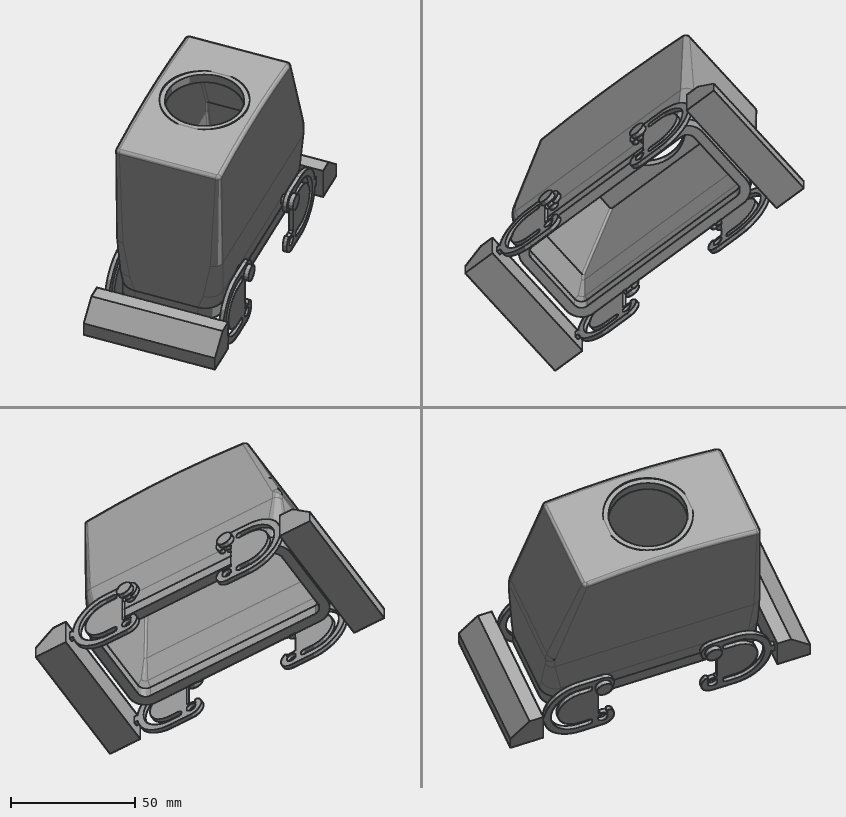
import cadquery as cq
import math


housing_top = 78.9
rim_height = 5.6
crease_height = 12.2
side_height = 28.9
bend_height = 33.5
column_top = housing_top + 1.3

base_half_length = 46.7
end_draft = 0.013
back_slope = 0.36
bend_radius = 10.4

half_width = 22.8
crease_half_width = 22.0
rim_half_width = 21.5

top_corner = 1.7
front_corner = 3.9
back_corner = 3.0
crease_corner = 6.1
rim_corner = 7.8
least_corner = 0.9

top_edge_radius = 1.5
crown_radius = 297.8
wall = 4.1

entry_y = -5.8
entry_radius = 15.9
spot_radius = 18.1
spot_depth = 0.5
entry_floor = housing_top - spot_depth

lever_inner_x = 23.8
lever_thickness = 1.8
lever_outer_x = lever_inner_x + lever_thickness
lever_y = 33.7
lever_z = -0.5
lever_radius = 15.4
slot_outer_radius = 12.4
slot_inner_radius = 9.5
slot_end_y = 28.2
slot_corner = 1.4
mouth_y = 25.6
mouth_corner = 3.6
hook_y = 23.7
hook_radius = 4.9
hook_inner_radius = 3.0
hook_offset = lever_radius - hook_radius
hook_start_angle = 110.0
hook_tip_angle = 46.0
hook_side_angle = -20.0
hook_bottom_angle = -90.0

pin_radius = 2.1
pin_z = lever_z + hook_offset
head_radius = 3.4
head_thickness = 2.1

bar_length = 57.0
bar_inner_y = 50.5
bar_outer_y = 64.8
bar_top = 5.6
bar_bottom = -8.3
bar_ridge_y = 56.5
bar_bevel_z = -2.2
neck_height = 3.9
neck_overlap = 1.3


def end_section(level, end, inset):
    """Level outline from the middle to one end wall (end = 1 for +Y, -1 for -Y), moved inwards by the inset."""
    z, half_x, end_distance, corner = level
    x = half_x - inset
    y = end_distance - inset
    r = max(corner - inset, least_corner)
    k = r * (1 - math.sqrt(0.5))
    return (
        cq.Workplane("XY", origin=(0, 0, z))
        .moveTo(-x, 0)
        .lineTo(x, 0)
        .lineTo(x, end * (y - r))
        .threePointArc((x - k, end * (y - k)), (x - r, end * y))
        .lineTo(-x + r, end * y)
        .threePointArc((-x + k, end * (y - k)), (-x, end * (y - r)))
        .close()
        .val()
    )


def upright_end(z):
    """Distance of an unsloped end wall from the middle."""
    return base_half_length - end_draft * z


def lower_levels(upper_corner):
    """Height, half width, end distance and corner radius at the levels up to the side wall crease."""
    return [
        (rim_height, rim_half_width, upright_end(rim_height), rim_corner),
        (crease_height, crease_half_width, upright_end(crease_height), crease_corner),
        (side_height, half_width, upright_end(side_height), upper_corner),
    ]


def loft_end(levels, end, inset):
    """Straight-sided half column through the levels."""
    wires = [end_section(level, end, inset) for level in levels]
    half = cq.Workplane("XY")
    for lower, upper in zip(wires, wires[1:]):
        half = half.union(cq.Workplane(cq.Solid.makeLoft([lower, upper], True)))
    return half


def drafted_column(inset=0.0):
    """Tapering column between the rim and a level above the crown, with a sloped back."""
    front_levels = lower_levels(front_corner)
    front_levels.append((column_top, half_width, upright_end(column_top), top_corner))
    bend_end = upright_end(bend_height)
    slope_end = bend_end - back_slope * (column_top - bend_height)
    back_levels = lower_levels(back_corner)
    back_levels.append((bend_height, half_width, bend_end, back_corner))
    back_levels.append((column_top, half_width, slope_end, top_corner))
    return loft_end(front_levels, -1, inset).union(loft_end(back_levels, 1, inset)).clean()


def below_crown():
    """Everything under the cylindrical crown, whose ridge runs along X above the entry."""
    return (
        cq.Workplane("YZ", origin=(0, entry_y, housing_top - crown_radius))
        .circle(crown_radius)
        .extrude(bar_length, both=True)
    )


def make_shell():
    outer = drafted_column()
    bend_edge = cq.selectors.NearestToPointSelector((0, upright_end(bend_height), bend_height))
    outer = outer.edges(bend_edge).fillet(bend_radius)
    outer = outer.intersect(below_crown())
    outer = outer.faces(">Z").edges().fillet(top_edge_radius)
    return outer.cut(make_cavity()).cut(make_entry())


def make_cavity():
    """Inside of the shell, under a flat ceiling."""
    above_ceiling = (
        cq.Workplane("XY", origin=(0, 0, entry_floor - wall))
        .rect(2 * base_half_length, 2 * base_half_length)
        .extrude(column_top)
    )
    return drafted_column(wall).cut(above_ceiling)


def make_entry():
    """Cable hole through the top wall, with a shallow flat spot face around it."""
    spot_face = cq.Workplane("XY", origin=(0, entry_y, entry_floor)).circle(spot_radius).extrude(wall)
    hole = cq.Workplane("XY", origin=(0, entry_y, entry_floor)).circle(entry_radius).extrude(-wall)
    return spot_face.union(hole)


def rim_block(inset=0.0):
    """Upright block under the drafted column, moved inwards by the inset."""
    level = lower_levels(front_corner)[0]
    down = cq.Vector(0, 0, -rim_height)
    front, back = [
        cq.Workplane(cq.Solid.extrudeLinear(end_section(level, end, inset), [], down)) for end in (-1, 1)
    ]
    return front.union(back).clean()


def make_rim():
    """Upright ring that closes off the lower edge of the housing."""
    return rim_block().cut(rim_block(wall))


def hook_point(radius, angle):
    """Point about the lower hook centre, the angle measured from -Y towards +Z."""
    a = math.radians(angle)
    return (hook_y - radius * math.cos(a), lever_z - hook_offset + radius * math.sin(a))


def plate_half():
    """Lower half of a lever's side plate, with its hook and pin hole."""
    mid_radius = (hook_radius + hook_inner_radius) / 2
    tip_radius = (hook_radius - hook_inner_radius) / 2
    tip = hook_point(mid_radius, hook_tip_angle)
    a = math.radians(hook_tip_angle)
    tip_mid = (tip[0] + tip_radius * math.sin(a), tip[1] + tip_radius * math.cos(a))
    diagonal = lever_radius * math.sqrt(0.5)
    outline = (
        cq.Workplane("YZ", origin=(lever_inner_x, 0, 0))
        .moveTo(mouth_y, lever_z)
        .lineTo(mouth_y, lever_z - hook_offset + mouth_corner)
        .lineTo(*hook_point(hook_inner_radius, hook_start_angle))
        .threePointArc(
            hook_point(hook_inner_radius, (hook_start_angle + hook_tip_angle) / 2),
            hook_point(hook_inner_radius, hook_tip_angle),
        )
        .threePointArc(tip_mid, hook_point(hook_radius, hook_tip_angle))
        .threePointArc(hook_point(hook_radius, hook_side_angle), hook_point(hook_radius, hook_bottom_angle))
        .lineTo(lever_y, lever_z - lever_radius)
        .threePointArc((lever_y + diagonal, lever_z - diagonal), (lever_y + lever_radius, lever_z))
        .close()
        .extrude(lever_thickness)
    )
    hole = (
        cq.Workplane("YZ", origin=(lever_inner_x, hook_y, lever_z - hook_offset))
        .circle(pin_radius)
        .extrude(lever_thickness)
    )
    return outline.cut(hole)


def plate_slot():
    """C-shaped slot along the round back of the side plate."""
    ro, ri = slot_outer_radius, slot_inner_radius
    return (
        cq.Workplane("YZ", origin=(lever_inner_x, 0, lever_z))
        .moveTo(slot_end_y, ro)
        .lineTo(lever_y, ro)
        .threePointArc((lever_y + ro, 0), (lever_y, -ro))
        .lineTo(slot_end_y, -ro)
        .lineTo(slot_end_y, -ri)
        .lineTo(lever_y, -ri)
        .threePointArc((lever_y + ri, 0), (lever_y, ri))
        .lineTo(slot_end_y, ri)
        .close()
        .extrude(lever_thickness)
        .edges("|X")
        .edges("<Y")
        .fillet(slot_corner)
    )


def make_side_plate():
    lower = plate_half()
    upper = lower.mirror("XY", (0, 0, lever_z))
    neck_start = lever_y + lever_radius - neck_overlap
    neck = cq.Workplane("XY").box(
        lever_thickness, bar_inner_y - neck_start, neck_height, centered=(False, False, True)
    ).translate((lever_inner_x, neck_start, lever_z))
    return lower.union(upper).cut(plate_slot()).union(neck)


def make_pin():
    """Headed pin that holds a side plate to the housing wall."""
    start = rim_half_width - wall / 2
    stem = cq.Workplane("YZ", origin=(start, hook_y, pin_z)).circle(pin_radius).extrude(lever_outer_x - start)
    head = cq.Workplane("YZ", origin=(lever_outer_x, hook_y, pin_z)).circle(head_radius).extrude(head_thickness)
    return stem.union(head)


def make_bar():
    return (
        cq.Workplane("YZ", origin=(-bar_length / 2, 0, 0))
        .moveTo(bar_inner_y, bar_bottom)
        .lineTo(bar_outer_y, bar_bottom)
        .lineTo(bar_outer_y, bar_bevel_z)
        .lineTo(bar_ridge_y, bar_top)
        .lineTo(bar_inner_y, bar_top)
        .close()
        .extrude(bar_length)
    )


def make_lever():
    side = make_side_plate().union(make_pin())
    return make_bar().union(side).union(side.mirror("YZ"))


def make_housing():
    """Shell with a lever pinned to each end, as one solid."""
    lever = make_lever()
    return make_shell().union(lever).union(lever.mirror("XZ"))


housing = make_housing()
rim = make_rim()

result = cq.Compound.makeCompound([housing.val(), rim.val()])